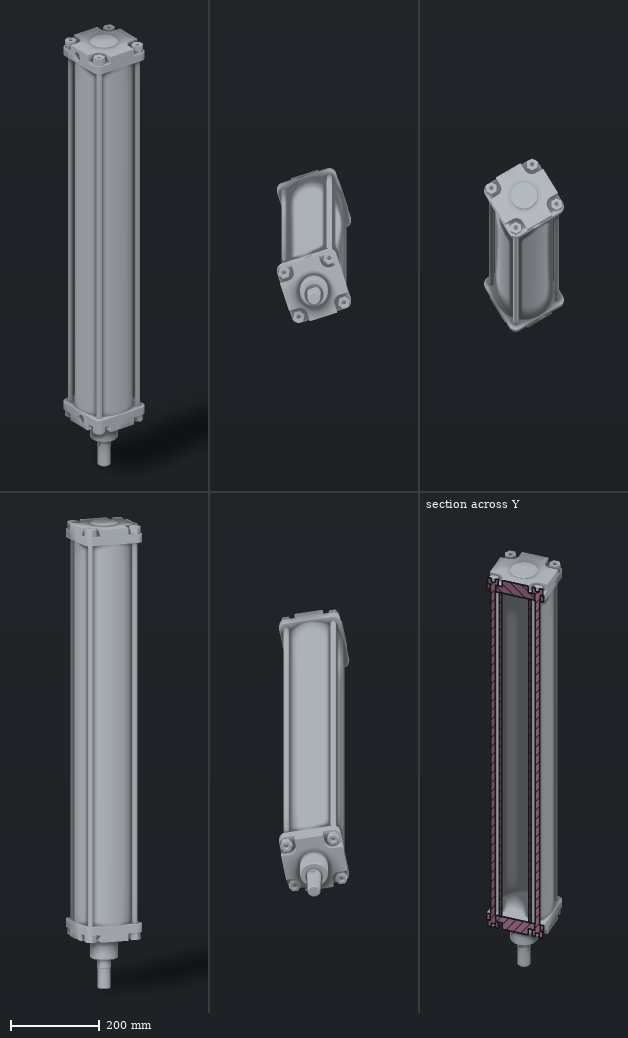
import cadquery as cq

overall_length = 1074
cover_side = 140
cover_thickness = 36
cover_corner_radius = 16
collar_diameter = 63
front_collar_length = 49
rear_collar_length = 4
collar_chamfer = 2
rod_projection = 119
body_length = overall_length - rod_projection - rear_collar_length

tie_rod_offset = 53.8
tie_rod_diameter = 12
pocket_side = 37.5
pocket_depth = 17
pocket_radius = 18
nut_across_corners = 27
nut_height = pocket_depth
nut_socket_diameter = 9
nut_socket_mouth = 13
nut_socket_depth = 10

port_diameter = 21
port_depth = 15
port_offset = 8
port_height = 17

barrel_outer_diameter = 133
barrel_bore = 125

rod_diameter = 32
rod_end_chamfer = 2.5
thread_diameter = 29.5
thread_length = 47.5
flat_width = 26.5
flat_length = 15
flat_start = 55.5

front_inner_face = cover_thickness
rear_inner_face = body_length - cover_thickness
barrel_length = rear_inner_face - front_inner_face
corner_signs = [(sx, sy) for sx in (-1, 1) for sy in (-1, 1)]
tie_rod_centres = [(sx * tie_rod_offset, sy * tie_rod_offset) for sx, sy in corner_signs]


def make_cover(collar_length, port_x):
    """Square end cover with its inner face on Z = 0 and its collar pointing to +Z."""
    cover = (
        cq.Workplane("XY")
        .rect(cover_side, cover_side)
        .extrude(cover_thickness)
        .edges("|Z")
        .fillet(cover_corner_radius)
    )
    collar = (
        cq.Workplane("XY")
        .workplane(offset=cover_thickness)
        .circle(collar_diameter / 2)
        .extrude(collar_length)
        .faces(">Z")
        .chamfer(collar_chamfer)
    )
    cover = cover.union(collar)

    pocket_centre = cover_side / 2
    pockets = (
        cq.Workplane("XY")
        .workplane(offset=cover_thickness - pocket_depth)
        .pushPoints([(sx * pocket_centre, sy * pocket_centre) for sx, sy in corner_signs])
        .rect(2 * pocket_side, 2 * pocket_side)
        .extrude(pocket_depth)
        .edges("|Z")
        .fillet(pocket_radius)
    )
    tie_rod_holes = (
        cq.Workplane("XY")
        .pushPoints(tie_rod_centres)
        .circle(tie_rod_diameter / 2)
        .extrude(cover_thickness)
    )
    port = (
        cq.Workplane("XZ", origin=(port_x, -cover_side / 2, port_height))
        .circle(port_diameter / 2)
        .extrude(-port_depth)
    )
    return cover.cut(pockets).cut(tie_rod_holes).cut(port)


def make_rear_cover():
    return make_cover(rear_collar_length, -port_offset).translate((0, 0, rear_inner_face))


def make_front_cover():
    """End cover turned over about Y, bored through for the piston rod."""
    rod_hole = (
        cq.Workplane("XY")
        .circle(rod_diameter / 2)
        .extrude(cover_thickness + front_collar_length)
    )
    cover = make_cover(front_collar_length, -port_offset).cut(rod_hole)
    return cover.rotate((0, 0, 0), (0, 1, 0), 180).translate((0, 0, front_inner_face))


def make_barrel():
    return (
        cq.Workplane("XY")
        .workplane(offset=front_inner_face)
        .circle(barrel_outer_diameter / 2)
        .circle(barrel_bore / 2)
        .extrude(barrel_length)
    )


def make_piston_rod():
    """Rod with wrench flats, stepping down through a chamfer to a thinner threaded end."""
    shank = (
        cq.Workplane("XY")
        .workplane(offset=thread_length - rod_projection)
        .circle(rod_diameter / 2)
        .extrude(rod_projection - thread_length + front_inner_face)
        .faces("<Z")
        .chamfer((rod_diameter - thread_diameter) / 2)
    )
    threaded_end = (
        cq.Workplane("XY")
        .workplane(offset=-rod_projection)
        .circle(thread_diameter / 2)
        .extrude(thread_length)
        .faces("<Z")
        .chamfer(rod_end_chamfer)
    )
    flat_cut_depth = (rod_diameter - flat_width) / 2
    flats = (
        cq.Workplane("XY")
        .workplane(offset=-flat_start - flat_length)
        .pushPoints([(0, side * (flat_width + flat_cut_depth) / 2) for side in (-1, 1)])
        .rect(rod_diameter, flat_cut_depth)
        .extrude(flat_length)
    )
    return shank.union(threaded_end).cut(flats)


def make_nut(seat_z, direction):
    """Hexagonal tie rod nut with a round socket, growing from its seat along +Z or -Z."""
    nut = (
        cq.Workplane("XY")
        .polygon(6, nut_across_corners)
        .extrude(nut_height)
        .faces(">Z")
        .workplane()
        .cskHole(nut_socket_diameter, nut_socket_mouth, 90, nut_socket_depth)
    )
    if direction < 0:
        nut = nut.rotate((0, 0, 0), (1, 0, 0), 180)
    return nut.translate((0, 0, seat_z))


def make_tie_rod(x, y):
    """Tie rod spanning both covers, with a nut in the corner pocket at each end."""
    front_seat = pocket_depth
    rear_seat = body_length - pocket_depth
    rod = (
        cq.Workplane("XY")
        .workplane(offset=front_seat)
        .circle(tie_rod_diameter / 2)
        .extrude(rear_seat - front_seat)
    )
    tie_rod = rod.union(make_nut(rear_seat, 1)).union(make_nut(front_seat, -1))
    return tie_rod.translate((x, y, 0))


front_cover = make_front_cover()
rear_cover = make_rear_cover()
barrel = make_barrel()
piston_rod = make_piston_rod()
tie_rods = [make_tie_rod(x, y) for x, y in tie_rod_centres]

result = cq.Compound.makeCompound(
    [
        front_cover.val(),
        rear_cover.val(),
        barrel.val(),
        piston_rod.val(),
        *[tie_rod.val() for tie_rod in tie_rods],
    ]
)